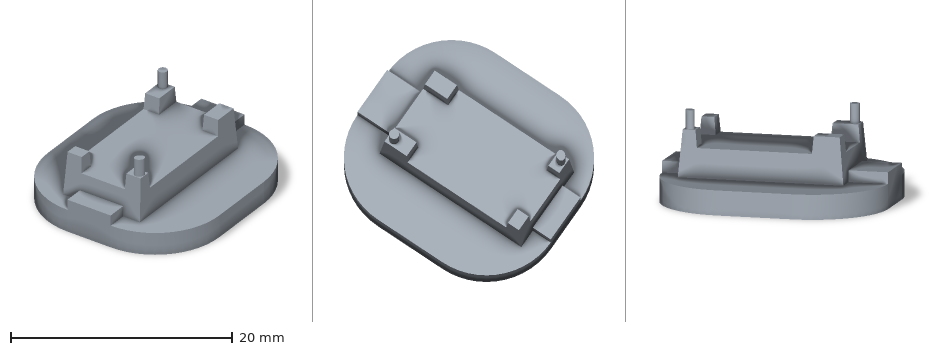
import cadquery as cq

PLATE_LENGTH = 21.15
PLATE_WIDTH = 18.85
PLATE_HEIGHT = 2.3
CORNER_RADIUS = 7.05

BODY_WIDTH = 8.45
BODY_BACK_Y = 6.9
BODY_FRONT_Y = -8.6
PAD_TOP_Z = 6.68
FLOOR_Z = 5.05
SIDE_TAPER = 0.21
END_TAPER = 0.4

LENGTHWISE_CHANNEL_WIDTH = PLATE_WIDTH - 2 * CORNER_RADIUS
CROSS_CHANNEL_BACK_Y = 3.91
CROSS_CHANNEL_FRONT_Y = -6.85

TAB_TOP_Z = 3.38
TAB_WIDTH = LENGTHWISE_CHANNEL_WIDTH

PIN_TOP_Z = 8.45
PIN_DIAMETER = 0.9
ROUND_PIN_CENTER = (-3.36, 5.9)
OVAL_PIN_CENTER = (3.51, -7.65)
OVAL_PIN_LENGTH = 1.02
OVAL_PIN_WIDTH = 0.78
OVAL_PIN_ANGLE = 45.0

BODY_HEIGHT = PAD_TOP_Z - PLATE_HEIGHT
PAD_HEIGHT = PAD_TOP_Z - FLOOR_Z


def make_plate():
    return (
        cq.Workplane("XY")
        .rect(PLATE_WIDTH, PLATE_LENGTH)
        .extrude(PLATE_HEIGHT)
        .edges("|Z")
        .fillet(CORNER_RADIUS)
    )


def make_body():
    length = BODY_BACK_Y - BODY_FRONT_Y
    center_y = (BODY_BACK_Y + BODY_FRONT_Y) / 2
    return (
        cq.Workplane("XY", origin=(0, center_y, PLATE_HEIGHT))
        .rect(BODY_WIDTH, length)
        .workplane(offset=BODY_HEIGHT)
        .rect(BODY_WIDTH - 2 * SIDE_TAPER, length - 2 * END_TAPER)
        .loft(ruled=True)
    )


def make_channel(plane, start, end, full_height_taper, reach):
    """Flaring channel from the floor to the pad tops, with the same draft as the body's outside."""
    flare = full_height_taper * PAD_HEIGHT / BODY_HEIGHT
    return (
        cq.Workplane(plane)
        .moveTo(start, FLOOR_Z)
        .lineTo(end, FLOOR_Z)
        .lineTo(end + flare, PAD_TOP_Z)
        .lineTo(start - flare, PAD_TOP_Z)
        .close()
        .extrude(reach, both=True)
    )


def make_tab(inner_y, outer_y):
    return (
        cq.Workplane("XY", origin=(0, (inner_y + outer_y) / 2, 0))
        .rect(TAB_WIDTH, abs(outer_y - inner_y))
        .extrude(TAB_TOP_Z)
    )


def make_pin(center, length, width, angle):
    return (
        cq.Workplane("XY", origin=(*center, PAD_TOP_Z))
        .ellipse(length / 2, width / 2, rotation_angle=angle)
        .extrude(PIN_TOP_Z - PAD_TOP_Z)
    )


half_channel = LENGTHWISE_CHANNEL_WIDTH / 2
lengthwise_channel = make_channel("XZ", -half_channel, half_channel, SIDE_TAPER, PLATE_LENGTH)
cross_channel = make_channel("YZ", CROSS_CHANNEL_FRONT_Y, CROSS_CHANNEL_BACK_Y, END_TAPER, PLATE_WIDTH)
body = make_body().cut(lengthwise_channel).cut(cross_channel)

result = make_plate().union(body)
for inner_y, outer_y in ((BODY_BACK_Y, PLATE_LENGTH / 2), (BODY_FRONT_Y, -PLATE_LENGTH / 2)):
    result = result.union(make_tab(inner_y, outer_y))

round_pin = make_pin(ROUND_PIN_CENTER, PIN_DIAMETER, PIN_DIAMETER, 0)
oval_pin = make_pin(OVAL_PIN_CENTER, OVAL_PIN_LENGTH, OVAL_PIN_WIDTH, OVAL_PIN_ANGLE)
result = result.union(round_pin).union(oval_pin)